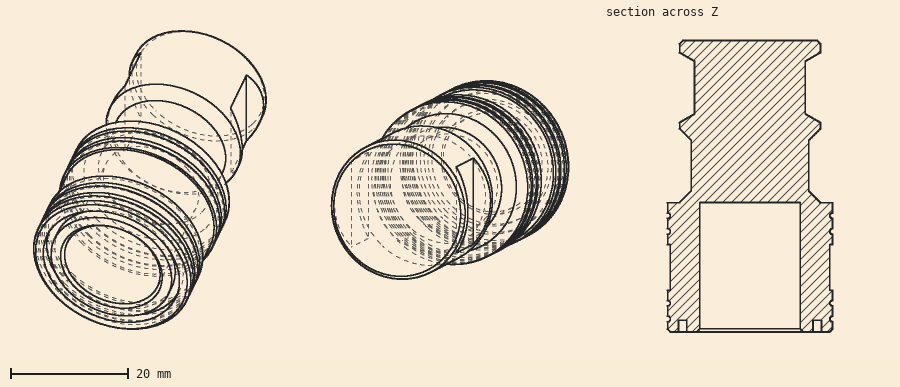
import cadquery as cq

total_length = 49.5
sleeve_length = 22.0
neck_start = 23.95
neck_end = 32.5
head_chamfer = 0.6

sleeve_radius = 14.0
sleeve_chamfer = 0.5
grip_radius = 13.55
neck_radius = 10.0
head_radius = neck_radius + neck_start - sleeve_length

groove_radius = 0.45
band_width = 1.8
groove_pitch = band_width + 2 * groove_radius
front_band_end = 3 * band_width + 2 * 2 * groove_radius
rear_band_start = sleeve_length - front_band_end
first_groove = band_width + groove_radius

bore_radius = 8.5
bore_chamfer = 0.55
bore_depth = sleeve_length
face_groove_inner_radius = 10.75
face_groove_outer_radius = 12.15
face_groove_depth = 2.0

flat_offset = 9.4
flat_center = 41.5
flat_length = 8.9
flat_end_run = 1.5


def revolve_profile(points):
    """Revolve a closed (radius, Y) outline around the Y axis."""
    return cq.Workplane("XY").polyline(points).close().revolve(360, (0, 0, 0), (0, 1, 0))


def make_body():
    return revolve_profile([
        (0, 0),
        (sleeve_radius - sleeve_chamfer, 0),
        (sleeve_radius, sleeve_chamfer),
        (sleeve_radius, front_band_end),
        (grip_radius, front_band_end),
        (grip_radius, rear_band_start),
        (sleeve_radius, rear_band_start),
        (sleeve_radius, sleeve_length),
        (head_radius, sleeve_length),
        (neck_radius, neck_start),
        (neck_radius, neck_end),
        (head_radius, neck_end + head_radius - neck_radius),
        (head_radius, total_length - head_chamfer),
        (head_radius - head_chamfer, total_length),
        (0, total_length),
    ])


def make_round_groove(y):
    return (
        cq.Workplane("XY")
        .center(sleeve_radius, y)
        .circle(groove_radius)
        .revolve(360, (-sleeve_radius, 0, 0), (-sleeve_radius, 1, 0))
    )


def make_bore():
    return revolve_profile([
        (0, 0),
        (bore_radius + bore_chamfer, 0),
        (bore_radius, bore_chamfer),
        (bore_radius, bore_depth),
        (0, bore_depth),
    ])


def make_face_groove():
    return revolve_profile([
        (face_groove_inner_radius, 0),
        (face_groove_outer_radius, 0),
        (face_groove_outer_radius, face_groove_depth),
        (face_groove_inner_radius, face_groove_depth),
    ])


def make_flat_cut(side):
    """Cut reaching the head surface on the +X or -X side."""
    half_floor = flat_length / 2
    half_mouth = half_floor + flat_end_run
    return (
        cq.Workplane("XY")
        .polyline([
            (side * flat_offset, flat_center - half_floor),
            (side * head_radius, flat_center - half_mouth),
            (side * head_radius, flat_center + half_mouth),
            (side * flat_offset, flat_center + half_floor),
        ])
        .close()
        .extrude(head_radius, both=True)
    )


result = make_body().cut(make_bore()).cut(make_face_groove())
for band_group_start in (0, rear_band_start):
    for index in range(2):
        groove_y = band_group_start + first_groove + index * groove_pitch
        result = result.cut(make_round_groove(groove_y))
for side in (-1, 1):
    result = result.cut(make_flat_cut(side))